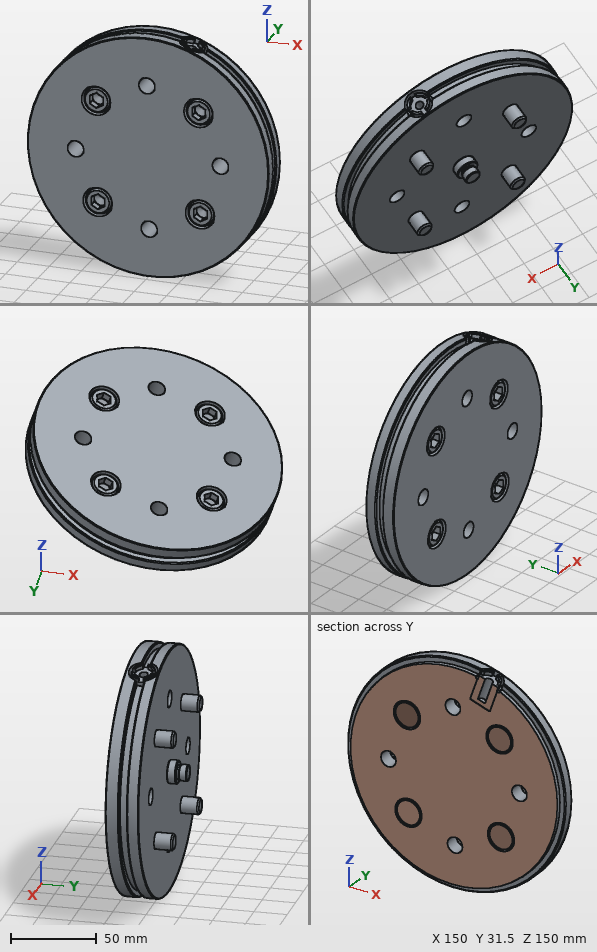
import cadquery as cq
import math


disc_diameter = 150.0
disc_radius = disc_diameter / 2
disc_thickness = 20.0
disc_edge_chamfer = 0.5

groove_floor_diameter = 142.5
groove_floor_width = 4.6
groove_center = 10.45
groove_lip_chamfer = 0.7

pattern_turn = 0.9
pattern_radius = 45.0
pattern_count = 4
hole_diameter = 10.0
counterbore_diameter = 18.0

bolt_diameter = 10.0
bolt_end = disc_thickness + 11.0
bolt_end_chamfer = 1.0
bolt_head_diameter = 16.0
bolt_head_height = 10.0
bolt_head_chamfer = 1.0
bolt_head_recess = 0.5
bolt_head_seat = bolt_head_recess + bolt_head_height
hex_width = 8.3
hex_depth = 5.0
hex_tip_angle = 118.0

plug_flange_diameter = 14.0
plug_flange_height = 5.4
plug_flange_chamfer = 0.5
plug_neck_diameter = 8.57
plug_neck_height = 1.2
plug_tip_diameter = 9.73
plug_tip_chamfer = 0.5
plug_height = 11.5

port_angle = 70.75
port_mouth_diameter = 17.0
port_mouth_floor_radius = 69.5

insert_diameter = 14.0
insert_top_radius = disc_radius
insert_face_radius = 72.4
insert_seat_radius = 54.4
insert_rim_chamfer = 0.3
insert_rim_bore = 10.7
insert_slot_width = 3.0
insert_bore_diameter = 4.92
insert_bore_depth = 15.0


def cylinder_y(diameter, y_start, y_end):
    """Cylinder on the disc axis between two places along Y."""
    return cq.Workplane("XZ", origin=(0, y_start, 0)).circle(diameter / 2).extrude(y_start - y_end)


def pattern_places(first_angle):
    """X and Z of equally spaced places on the pattern circle."""
    step = 360.0 / pattern_count
    angles = [math.radians(first_angle + step * i) for i in range(pattern_count)]
    return [(pattern_radius * math.cos(a), pattern_radius * math.sin(a)) for a in angles]


def port_plane(radius):
    """Plane across the port axis, facing outward, at a distance from the disc axis."""
    angle = math.radians(port_angle)
    outward = cq.Vector(math.cos(angle), 0, math.sin(angle))
    origin = outward * radius + cq.Vector(0, groove_center, 0)
    return cq.Workplane(cq.Plane(origin=origin, xDir=(0, 1, 0), normal=outward))


def port_cylinder(diameter, inner_radius, outer_radius):
    """Cylinder on the port axis between two distances from the disc axis."""
    return port_plane(inner_radius).circle(diameter / 2).extrude(outer_radius - inner_radius)


hole_places = pattern_places(pattern_turn)
bolt_places = pattern_places(pattern_turn + 180.0 / pattern_count)


def make_groove():
    """Ring that cuts the rim groove with its chamfered lips."""
    half_floor = groove_floor_width / 2
    half_mouth = half_floor + groove_lip_chamfer
    floor_radius = groove_floor_diameter / 2
    lip_radius = disc_radius - groove_lip_chamfer
    outline = [
        (floor_radius, groove_center - half_floor),
        (lip_radius, groove_center - half_floor),
        (disc_radius, groove_center - half_mouth),
        (disc_radius, groove_center + half_mouth),
        (lip_radius, groove_center + half_floor),
        (floor_radius, groove_center + half_floor),
    ]
    return cq.Workplane("XY").polyline(outline).close().revolve(360, (0, 0, 0), (0, 1, 0))


def make_disc():
    disc = cylinder_y(disc_diameter, 0, disc_thickness).edges().chamfer(disc_edge_chamfer)
    disc = disc.cut(make_groove())

    for x, z in hole_places:
        disc = disc.cut(cylinder_y(hole_diameter, 0, disc_thickness).translate((x, 0, z)))

    for x, z in bolt_places:
        disc = disc.cut(cylinder_y(bolt_diameter, 0, disc_thickness).translate((x, 0, z)))
        disc = disc.cut(cylinder_y(counterbore_diameter, 0, bolt_head_seat).translate((x, 0, z)))

    disc = disc.cut(port_cylinder(port_mouth_diameter, port_mouth_floor_radius, disc_radius))
    return disc.cut(port_cylinder(insert_diameter, insert_seat_radius, port_mouth_floor_radius))


def make_bolt(x, z):
    head = cylinder_y(bolt_head_diameter, bolt_head_recess, bolt_head_seat)
    head = head.faces("<Y").chamfer(bolt_head_chamfer)
    shank = cylinder_y(bolt_diameter, bolt_head_seat, bolt_end)
    shank = shank.faces(">Y").chamfer(bolt_end_chamfer)

    hex_corner_diameter = hex_width / math.cos(math.radians(30))
    socket = (
        cq.Workplane("XZ", origin=(0, bolt_head_recess, 0))
        .transformed(rotate=(0, 0, 90))
        .polygon(6, hex_corner_diameter)
        .extrude(-hex_depth)
    )
    cone_radius = hex_width / 2
    cone_height = cone_radius / math.tan(math.radians(hex_tip_angle / 2))
    cone_base = cq.Vector(0, bolt_head_recess + hex_depth, 0)
    cone = cq.Workplane(cq.Solid.makeCone(cone_radius, 0, cone_height, cone_base, cq.Vector(0, 1, 0)))
    return head.union(shank).cut(socket).cut(cone).translate((x, 0, z))


def make_plug():
    flange_top = disc_thickness + plug_flange_height
    neck_top = flange_top + plug_neck_height
    flange = cylinder_y(plug_flange_diameter, disc_thickness, flange_top)
    flange = flange.edges().chamfer(plug_flange_chamfer)
    neck = cylinder_y(plug_neck_diameter, flange_top, neck_top)
    tip = cylinder_y(plug_tip_diameter, neck_top, disc_thickness + plug_height)
    tip = tip.edges().chamfer(plug_tip_chamfer)
    return flange.union(neck).union(tip)


def make_insert():
    insert = port_cylinder(insert_diameter, insert_seat_radius, insert_top_radius)
    insert = insert.faces(">Z").chamfer(insert_rim_chamfer)

    rim_height = insert_top_radius - insert_face_radius
    face = port_plane(insert_face_radius)
    insert = insert.cut(face.circle(insert_rim_bore / 2).extrude(rim_height))
    insert = insert.cut(face.rect(insert_diameter, insert_slot_width).extrude(rim_height))
    insert = insert.cut(face.rect(insert_slot_width, insert_diameter).extrude(rim_height))

    return insert.cut(face.circle(insert_bore_diameter / 2).extrude(-insert_bore_depth))


disc = make_disc()
bolts = [make_bolt(x, z) for x, z in bolt_places]
plug = make_plug()
insert = make_insert()

result = cq.Compound.makeCompound([disc.val(), *[bolt.val() for bolt in bolts], plug.val(), insert.val()])